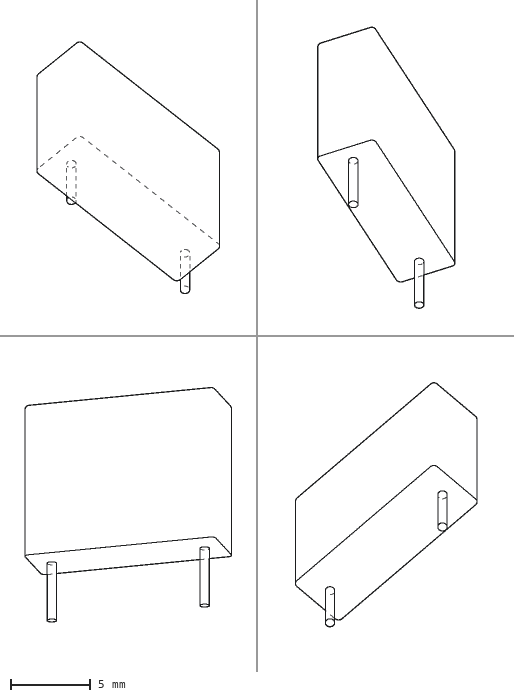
import cadquery as cq

housing_length = 12.5
housing_width = 4.0
total_height = 13.8
edge_radius = 0.3

lead_length = 3.8
lead_diameter = 0.6
lead_pitch = 10.0

housing_height = total_height - lead_length


def make_housing():
    """Block with rounded vertical and top edges."""
    block = cq.Workplane("XY").box(
        housing_length, housing_width, housing_height, centered=(True, True, False)
    )
    return block.edges("|Z or >Z").fillet(edge_radius)


def make_lead(x):
    """Straight round lead hanging from the bottom face of the housing."""
    return cq.Workplane("XY").center(x, 0).circle(lead_diameter / 2).extrude(-lead_length)


housing = make_housing()
leads = [make_lead(side * lead_pitch / 2) for side in (-1, 1)]

result = cq.Compound.makeCompound([housing.val(), *[lead.val() for lead in leads]])